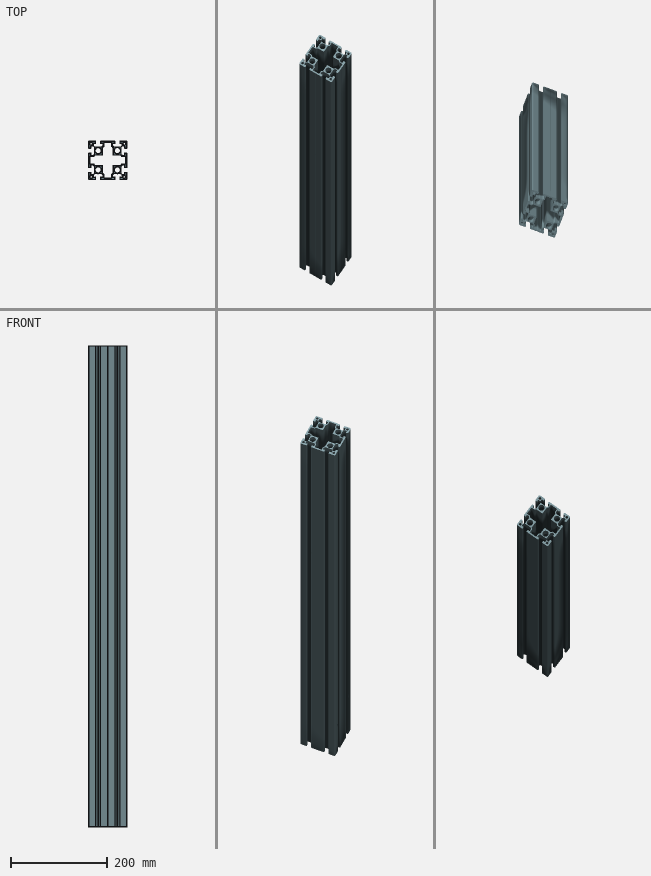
import cadquery as cq
import math

SIDE = 80.0
BODY_LENGTH = 1000.0
SLOT_OFFSET = SIDE / 4
CORNER_RADIUS = 2.5

SLOT_OPENING = 10.0
SLOT_DEPTH = 12.25
MOUTH_RADIUS = 1.5
LIP_TIP_THICKNESS = 5.5
LIP_ROOT_THICKNESS = 4.0
LIP_INNER_RADIUS = 1.0
CAVITY_WIDTH = 20.0
CAVITY_RADIUS = 1.5
CAVITY_TAPER = 2.5
FLOOR_RADIUS = 1.0

RIB_WIDTH = 1.5
RIB_HEIGHT = 0.25
RIB_OVERHANG = 0.05

GROOVE_WIDTH = 0.5
GROOVE_DEPTH = 1.0
NIB_WIDTH = 2.0
NIB_HEIGHT = 0.5

FACE_WALL = 3.0
CHAMBER_HALF_WIDTH = 11.0
ARM_HALF_WIDTH = 8.0
ARM_RADIUS = 1.5
SHOULDER_TOP = 29.0
SHOULDER_DROP = 2.5

BORE_DIAMETER = 12.7
CORNER_CHAMBER_SIDE = 5.0
CORNER_CHAMBER_WALL = 3.0
CORNER_CHAMBER_RADIUS = 1.5

HALF = SIDE / 2
FLOOR_Y = HALF - SLOT_DEPTH
FACE_ANGLES = (0, 90, 180, 270)
SLOT_CENTERS = (SLOT_OFFSET, -SLOT_OFFSET)


def turned(points, angle):
    """Turn outline points (x, y, corner radius) about the Z axis."""
    cos_a = math.cos(math.radians(angle))
    sin_a = math.sin(math.radians(angle))
    return [(x * cos_a - y * sin_a, x * sin_a + y * cos_a, radius) for x, y, radius in points]


def on_all_faces(points):
    """Chain the outline points of the +Y side around all four sides."""
    return [point for angle in FACE_ANGLES for point in turned(points, angle)]


def mirrored(points):
    """Mirror outline points in the YZ plane, keeping the direction of travel."""
    return [(-x, y, radius) for x, y, radius in reversed(points)]


def shifted(points, distance):
    """Move outline points along X."""
    return [(x + distance, y, radius) for x, y, radius in points]


def rounded_prism(points):
    """Extrude a closed outline of (x, y, corner radius) points over the body length."""
    corners = [cq.Vector(x, y, 0) for x, y, _ in points]
    starts = []
    ends = []
    edges = []
    for i, (_, _, radius) in enumerate(points):
        corner = corners[i]
        if radius == 0:
            starts.append(corner)
            ends.append(corner)
            continue
        to_last = (corners[i - 1] - corner).normalized()
        to_next = (corners[(i + 1) % len(corners)] - corner).normalized()
        half_angle = to_last.getAngle(to_next) / 2
        setback = radius / math.tan(half_angle)
        to_center = (to_last + to_next).normalized()
        middle = corner + to_center * (radius / math.sin(half_angle) - radius)
        starts.append(corner + to_last * setback)
        ends.append(corner + to_next * setback)
        edges.append(cq.Edge.makeThreePointArc(starts[i], middle, ends[i]))
    for i, start in enumerate(starts):
        edges.append(cq.Edge.makeLine(ends[i - 1], start))
    wire = cq.Wire.combine(edges)[0]
    return cq.Solid.extrudeLinear(wire, [], cq.Vector(0, 0, BODY_LENGTH))


def slot_outline():
    """T-slot in the +Y face, from its right mouth edge to its left one."""
    right = [
        (SLOT_OPENING / 2, HALF, MOUTH_RADIUS),
        (SLOT_OPENING / 2, HALF - LIP_TIP_THICKNESS, LIP_INNER_RADIUS),
        (CAVITY_WIDTH / 2, HALF - LIP_ROOT_THICKNESS, CAVITY_RADIUS),
        (CAVITY_WIDTH / 2, FLOOR_Y + CAVITY_TAPER, 0),
        (CAVITY_WIDTH / 2 - CAVITY_TAPER, FLOOR_Y, FLOOR_RADIUS),
    ]
    return right + mirrored(right)


def slotted_body():
    """Solid bar with its slots and face grooves."""
    groove = [
        (GROOVE_WIDTH / 2, HALF, 0),
        (0, HALF - GROOVE_DEPTH, 0),
        (-GROOVE_WIDTH / 2, HALF, 0),
    ]
    corner = [(HALF, HALF, CORNER_RADIUS)]
    right_slot, left_slot = [shifted(slot_outline(), center) for center in SLOT_CENTERS]
    return rounded_prism(on_all_faces(corner + right_slot + groove + left_slot))


def central_chamber():
    """Cross-shaped hollow whose arms narrow at a shoulder before each face wall."""
    wall_y = HALF - FACE_WALL
    inner_corner = [(CHAMBER_HALF_WIDTH, CHAMBER_HALF_WIDTH, 0)]
    right = [
        (CHAMBER_HALF_WIDTH, SHOULDER_TOP - SHOULDER_DROP, 0),
        (ARM_HALF_WIDTH, SHOULDER_TOP, 0),
        (ARM_HALF_WIDTH, wall_y, ARM_RADIUS),
        (NIB_WIDTH / 2, wall_y, 0),
    ]
    nib_tip = [(0, wall_y - NIB_HEIGHT, 0)]
    return rounded_prism(on_all_faces(inner_corner + right + nib_tip + mirrored(right)))


def corner_chambers():
    """Rounded square hollow in each corner of the bar."""
    far = HALF - CORNER_CHAMBER_WALL
    near = far - CORNER_CHAMBER_SIDE
    square = [(far, far), (near, far), (near, near), (far, near)]
    outline = [(x, y, CORNER_CHAMBER_RADIUS) for x, y in square]
    return [rounded_prism(turned(outline, angle)) for angle in FACE_ANGLES]


def bores():
    """Round through bore behind each pair of slots."""
    return [
        cq.Workplane("XY").center(x, y).circle(BORE_DIAMETER / 2).extrude(BODY_LENGTH).val()
        for x in SLOT_CENTERS
        for y in SLOT_CENTERS
    ]


def slot_ribs():
    """Triangular rib on each slot floor, standing just proud of both ends."""
    rib = (
        cq.Workplane("XY", origin=(0, 0, -RIB_OVERHANG))
        .polyline([(-RIB_WIDTH / 2, FLOOR_Y), (0, FLOOR_Y + RIB_HEIGHT), (RIB_WIDTH / 2, FLOOR_Y)])
        .close()
        .extrude(BODY_LENGTH + 2 * RIB_OVERHANG)
    )
    return [
        rib.translate((center, 0, 0)).rotate((0, 0, 0), (0, 0, 1), angle).val()
        for center in SLOT_CENTERS
        for angle in FACE_ANGLES
    ]


hollow_bar = slotted_body().cut(central_chamber(), *corner_chambers(), *bores())
result = cq.Workplane(hollow_bar.fuse(*slot_ribs()).Solids()[0])